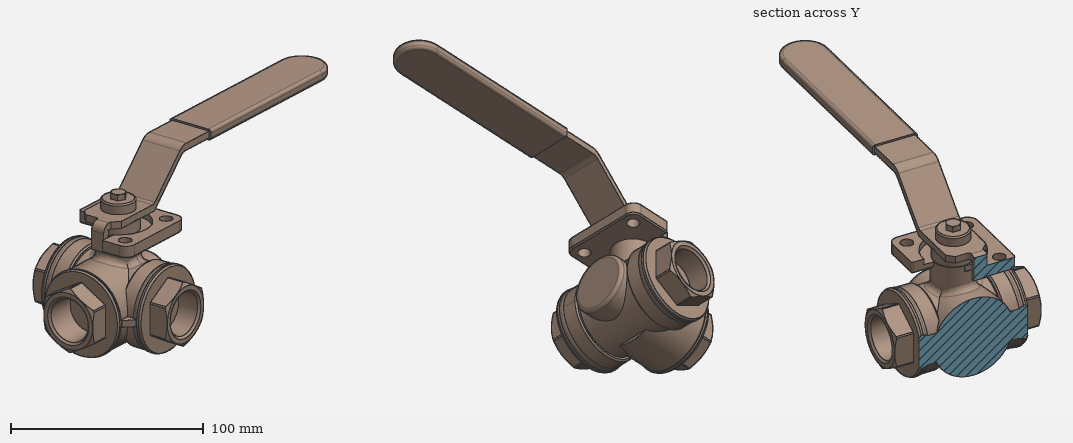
import cadquery as cq
import math


port_reach = 43.5
cap_outer_face = 32.3
cap_thickness = 2.6
cap_diameter = 48.2
cap_taper_length = 1.3
cap_taper_depth = 0.6
hex_across_flats = 31.8
hex_turned_diameter = 36.2
hex_end_chamfer_length = 1.3
hex_end_chamfer_depth = 2.3
bore_diameter = 24.1
bore_mouth_diameter = 26.6
front_bore_depth = 18.0
side_bore_depth = 13.4

collar_diameter = 47.8
collar_length = 2.6
collar_taper_length = 1.3
collar_taper_depth = 0.3
side_tube_diameter = 47.1
side_tube_inner_end = 18.0
side_tube_chamfer = 0.9
core_diameter = 43.0
front_tube_diameter = 47.2
back_boss_diameter = 33.6
back_boss_face = 25.8
back_boss_fillet = 2.0
web_half_thickness = 1.9
web_reach = 24.4
web_inner = 16.0

neck_diameter = 24.0
neck_root_fillet = 3.5
stem_diameter = 23.0
flange_size = 50.0
flange_thickness = 7.0
flange_top = 41.5
flange_corner_radius = 5.5
flange_cut_corner_radius = 1.2
flange_bottom_chamfer = 0.8
flange_cut_x = 8.3
flange_cut_y = -0.7
stop_block_left = 0.2
stop_block_front = -12.1
stop_recess_diameter = 35.6
stop_recess_depth = 3.4
bolt_circle_diameter = 50.0
bolt_hole_diameter = 7.0

lever_width = 24.0
lever_thickness = 4.0
lever_end_radius = 11.9
lever_slope_thickness = 3.1
lever_bottom = 45.2
lever_front = -17.3
lever_front_chamfer = 3.8
lever_lower_bend = 15.2
lever_angle = 45.0
lever_grip_bottom = 70.0
lever_inner_bend_radius = 5.0
lever_outer_bend_radius = 8.2
lever_lower_bend_fillet = 2.7
tab_width = 7.9
tab_left = 0.2
tab_outer_face = -23.6
tab_bottom = 34.0
tab_bend_radius = 4.7
tab_root_fillet = 1.5

grip_width = 26.8
grip_start = 62.6
grip_end = 172.5
grip_bottom = 68.9
grip_top = 75.0
grip_end_wall = 1.1
grip_fillet = 1.8

nut_collar_diameter = 18.5
nut_collar_top = 54.9
nut_collar_chamfer = 0.8
stem_hex_diameter = 8.7
stem_hex_top = 58.2
stem_hex_chamfer = 0.5

lever_top = lever_bottom + lever_thickness
cap_inner_face = cap_outer_face - cap_thickness

FRONT_ANGLE = 0
BACK_ANGLE = 180
SIDE_ANGLES = (90, -90)


def cylinder_z(diameter, bottom, top):
    return cq.Workplane("XY").workplane(offset=bottom).circle(diameter / 2).extrude(top - bottom)


def to_port(shape, angle):
    """Lay a shape built along +Z onto the -Y port, then turn it about Z."""
    return shape.rotate((0, 0, 0), (1, 0, 0), 90).rotate((0, 0, 0), (0, 0, 1), angle)


def make_cap():
    cap = cylinder_z(cap_diameter, cap_inner_face, cap_outer_face)
    cap = cap.faces(">Z").chamfer(cap_taper_length, cap_taper_depth)
    hex_corners = hex_across_flats / math.cos(math.pi / 6)
    hexagon = (
        cq.Workplane("XY").workplane(offset=cap_inner_face)
        .polygon(6, hex_corners).extrude(port_reach - cap_inner_face)
        .rotate((0, 0, 0), (0, 0, 1), 90)
    )
    turned = cylinder_z(hex_turned_diameter, cap_inner_face, port_reach)
    turned = turned.faces(">Z").chamfer(hex_end_chamfer_length, hex_end_chamfer_depth)
    return cap.union(hexagon.intersect(turned))


def make_bore(depth):
    mouth_step = (bore_mouth_diameter - bore_diameter) / 2
    bore = cylinder_z(bore_diameter, port_reach - depth, port_reach)
    mouth = (
        cq.Workplane("XY").workplane(offset=port_reach)
        .circle(bore_mouth_diameter / 2)
        .workplane(offset=-mouth_step).circle(bore_diameter / 2).loft()
    )
    return bore.union(mouth)


def make_side_tube():
    tube = cylinder_z(side_tube_diameter, side_tube_inner_end, cap_inner_face)
    tube = tube.faces("<Z").chamfer(side_tube_chamfer)
    collar = cylinder_z(collar_diameter, cap_inner_face - collar_length, cap_inner_face)
    return tube.union(collar.faces("<Z").chamfer(collar_taper_length, collar_taper_depth))


def make_web():
    """Flat webs that tie the front cap to both side collars."""
    return (
        cq.Workplane("XY").workplane(offset=-web_half_thickness)
        .moveTo(-cap_inner_face, -web_inner)
        .lineTo(-cap_inner_face, -web_reach)
        .lineTo(-web_reach, -cap_inner_face)
        .lineTo(web_reach, -cap_inner_face)
        .lineTo(cap_inner_face, -web_reach)
        .lineTo(cap_inner_face, -web_inner)
        .close().extrude(2 * web_half_thickness)
    )


def make_body():
    core = cq.Workplane("YZ").circle(core_diameter / 2).extrude(cap_inner_face, both=True)
    front_tube = to_port(cylinder_z(front_tube_diameter, 0, cap_inner_face), FRONT_ANGLE)
    body = core.union(front_tube)
    body = body.union(cylinder_z(neck_diameter, 0, flange_top - stop_recess_depth))
    neck_radius = neck_diameter / 2
    root = cq.selectors.BoxSelector(
        (-neck_radius, -neck_radius, neck_radius), (neck_radius, neck_radius, front_tube_diameter / 2)
    )
    body = body.edges(root).edges("not %LINE").fillet(neck_root_fillet)
    back_boss = to_port(cylinder_z(back_boss_diameter, 0, back_boss_face), BACK_ANGLE)
    body = body.union(back_boss.faces(">Y").edges().fillet(back_boss_fillet))
    for angle in SIDE_ANGLES:
        body = body.union(to_port(make_side_tube(), angle))
    body = body.union(make_web())
    for angle in (FRONT_ANGLE, *SIDE_ANGLES):
        body = body.union(to_port(make_cap(), angle))
    body = body.cut(to_port(make_bore(front_bore_depth), FRONT_ANGLE))
    for angle in SIDE_ANGLES:
        body = body.cut(to_port(make_bore(side_bore_depth), angle))
    return body


def make_flange():
    """Square mounting flange, cut away around the front left corner."""
    half = flange_size / 2
    flange_bottom = flange_top - flange_thickness
    flange = (
        cq.Workplane("XY").workplane(offset=flange_bottom)
        .moveTo(-half, flange_cut_y).lineTo(-half, half).lineTo(half, half)
        .lineTo(half, -half).lineTo(flange_cut_x, -half)
        .lineTo(flange_cut_x, stop_block_front).lineTo(stop_block_left, stop_block_front)
        .lineTo(stop_block_left, flange_cut_y)
        .close().extrude(flange_thickness)
    )
    flange = flange.edges("|Z").edges(">X or (<X and >Y)").fillet(flange_corner_radius)
    flange = flange.edges("|Z and <X").edges("<Y").fillet(flange_cut_corner_radius)
    sharp_edges = cq.selectors.BoxSelector(
        (0, -half + flange_bottom_chamfer, 0), (half / 2, flange_cut_y - flange_bottom_chamfer, flange_top)
    )
    bottom_edges = cq.selectors.InverseSelector(sharp_edges)
    flange = flange.faces("<Z").edges(bottom_edges).chamfer(flange_bottom_chamfer)
    flange = flange.cut(cylinder_z(stop_recess_diameter, flange_top - stop_recess_depth, flange_top))
    offset = bolt_circle_diameter / 2 * math.sin(math.pi / 4)
    holes = (
        cq.Workplane("XY").workplane(offset=flange_bottom)
        .pushPoints([(-offset, offset), (offset, offset), (offset, -offset)])
        .circle(bolt_hole_diameter / 2).extrude(flange_thickness)
    )
    return flange.cut(holes)


def make_lever():
    """Bent flat bar; its side outline is extruded across the width."""
    slope = math.tan(math.radians(lever_angle))
    slope_width = lever_slope_thickness / math.sin(math.radians(lever_angle))
    bend_shift = slope_width - lever_thickness / slope
    upper_bend = lever_lower_bend + (lever_grip_bottom - lever_bottom) / slope
    end = grip_end - grip_end_wall
    bar = (
        cq.Workplane("YZ")
        .moveTo(lever_front, lever_bottom).lineTo(lever_lower_bend, lever_bottom)
        .lineTo(upper_bend, lever_grip_bottom).lineTo(end, lever_grip_bottom)
        .lineTo(end, lever_grip_bottom + lever_thickness)
        .lineTo(upper_bend - bend_shift, lever_grip_bottom + lever_thickness)
        .lineTo(lever_lower_bend - bend_shift, lever_top).lineTo(lever_front, lever_top)
        .close().extrude(lever_width / 2, both=True)
    )
    inner = cq.selectors.NearestToPointSelector((0, upper_bend, lever_grip_bottom))
    outer = cq.selectors.NearestToPointSelector(
        (0, upper_bend - bend_shift, lever_grip_bottom + lever_thickness)
    )
    lower = cq.selectors.NearestToPointSelector((0, lever_lower_bend - bend_shift, lever_top))
    bar = bar.edges(inner).fillet(lever_inner_bend_radius)
    bar = bar.edges(outer).fillet(lever_outer_bend_radius)
    bar = bar.edges(lower).fillet(lever_lower_bend_fillet)
    bar = bar.edges("|Z and <Y").chamfer(lever_front_chamfer)
    return bar.edges("|Z and >Y").fillet(lever_end_radius)


def make_stop_tab():
    """Tab bent down from the front of the lever."""
    inner_face = tab_outer_face + lever_thickness
    tab = (
        cq.Workplane("YZ").workplane(offset=tab_left)
        .moveTo(lever_front, lever_top)
        .lineTo(tab_outer_face, lever_top).lineTo(tab_outer_face, tab_bottom)
        .lineTo(inner_face, tab_bottom).lineTo(inner_face, lever_bottom)
        .lineTo(lever_front, lever_bottom).close().extrude(tab_width)
    )
    tab = tab.edges("|X and <Y and >Z").fillet(tab_bend_radius)
    return tab


def make_grip():
    radius = grip_width / 2
    grip = (
        cq.Workplane("XY").workplane(offset=grip_bottom)
        .moveTo(-radius, grip_start).lineTo(-radius, grip_end - radius)
        .threePointArc((0, grip_end), (radius, grip_end - radius))
        .lineTo(radius, grip_start).close().extrude(grip_top - grip_bottom)
    )
    return grip.edges("(>Z or <Z) and (not <Y)").fillet(grip_fillet)


def make_stem():
    stem = cylinder_z(stem_diameter, flange_top - flange_thickness, lever_bottom)
    collar = cylinder_z(nut_collar_diameter, lever_bottom, nut_collar_top)
    collar = collar.faces(">Z").chamfer(nut_collar_chamfer)
    hexagon = (
        cq.Workplane("XY").workplane(offset=lever_bottom)
        .polygon(6, stem_hex_diameter).extrude(stem_hex_top - lever_bottom)
    )
    turned = cylinder_z(stem_hex_diameter, lever_bottom, stem_hex_top)
    turned = turned.faces(">Z").chamfer(stem_hex_chamfer)
    return stem.union(collar).union(hexagon.intersect(turned))


def make_handle():
    handle = make_lever().union(make_stop_tab())
    tab_root = cq.selectors.NearestToPointSelector(
        (tab_left, lever_front, lever_bottom + lever_thickness / 2)
    )
    return handle.edges(tab_root).fillet(tab_root_fillet).union(make_grip())


result = (
    make_body()
    .union(make_flange())
    .union(make_stem())
    .union(make_handle())
)